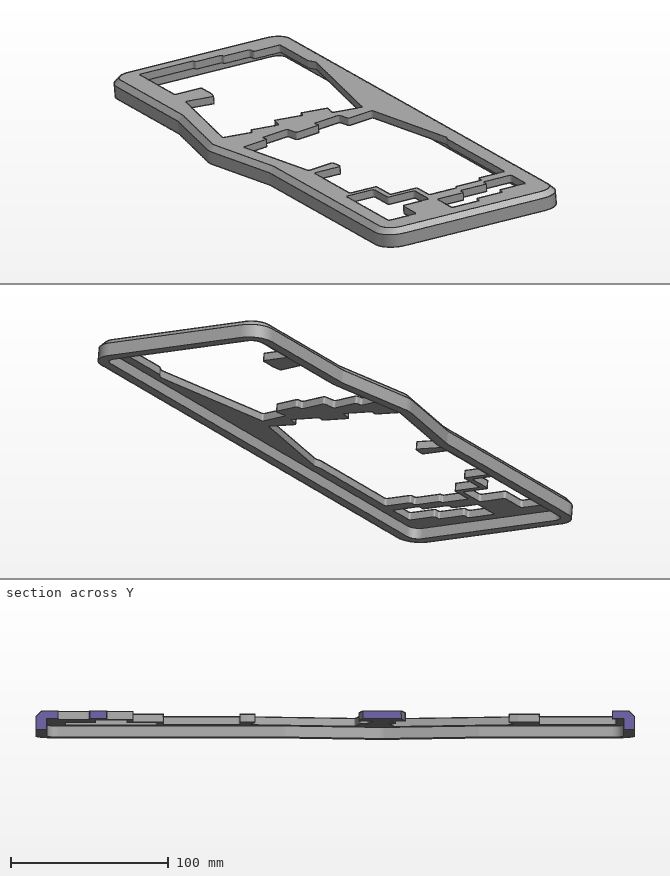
import cadquery as cq
import math

TILT = 5.0
WIDTH = 378.99
DEPTH = 138.73
HEIGHT = 12.0
CORNER_RADIUS = 14.0
CHAMFER = 3.5
WEB = 5.0
RIM = 7.0
SPLAY = 10.0
POINT_X = -29.75
POINT_RADIUS = 16.0
POINT_HALF_WIDTH = 62.2

PITCH = 19.05
CLEARANCE = 0.45
KEY_CORNER_RADIUS = 1.15
ARROW_CORNER_RADIUS = 1.5
GRID_X = -177.35
GRID_Y = 54.75
LEFT_HAND = (-30.45, 40.85)
RIGHT_HAND = (-19.5, 42.7)
LEFT_BLEND_X = (-130.0, -124.5)
RIGHT_BLEND_X = (55.5, 60.9)

BACK_ROW = 0
FRONT_ROW = 4
ROWS_END = 5
ARROW_ROW = 3.25

LEFT_ROW_STARTS = [0.5, 0.25, 0.125]
LEFT_STRAIGHT_END = 2.5
LEFT_SPLAYED_START = -3.5
LEFT_SPLAYED_ENDS = [0, -0.5, -0.25, 0.25, 0.5]
RIGHT_SPLAYED_STARTS = [0, -0.5, -0.25, -0.75, -0.5]
RIGHT_SPLAYED_END = 3
RIGHT_STRAIGHT_START = 12.5
RIGHT_ROW_ENDS = [16.5, 16.75, 16.875, 16, 15]
SIDE_STARTS = [17, 17.25, 17.5]
SIDE_ENDS = [18, 18.25, 18.5]
ARROW_STARTS = [16.25, 15.25]
ARROW_ENDS = [17.25, 18.25]


def straight(column, row):
    """Position of a key corner in the straight rows."""
    return (GRID_X + column * PITCH, GRID_Y - row * PITCH)


def splayed(origin, turn, column, row):
    """Position of a key corner in a cluster turned about its origin."""
    angle = math.radians(turn)
    along = column * PITCH
    across = -row * PITCH
    return (
        origin[0] + along * math.cos(angle) - across * math.sin(angle),
        origin[1] + along * math.sin(angle) + across * math.cos(angle),
    )


def left_hand(column, row):
    return splayed(LEFT_HAND, -SPLAY, column, row)


def right_hand(column, row):
    return splayed(RIGHT_HAND, SPLAY, column, row)


def row_line_at_x(hand, row, x):
    """Point at the given x on the back line of a splayed row."""
    x0, y0 = hand(0, row)
    x1, y1 = hand(1, row)
    return (x, y0 + (x - x0) * (y1 - y0) / (x1 - x0))


def row_line_at_y(hand, row, y):
    """Point at the given y on the back line of a splayed row."""
    x0, y0 = hand(0, row)
    x1, y1 = hand(1, row)
    return (x0 + (y - y0) * (x1 - x0) / (y1 - y0), y)


def staircase(corner, columns, first_row=BACK_ROW):
    """Corners of a stepped edge with one column per row, from back to front."""
    points = []
    for step, column in enumerate(columns):
        row = first_row + step
        points += [corner(column, row), corner(column, row + 1)]
    return points


def round_upright_edge(body, corner, radius):
    """Fillet the upright edge of the body at a plan corner."""
    middle = (corner[0], corner[1], -HEIGHT / 2)
    return body.edges(cq.selectors.NearestToPointSelector(middle)).fillet(radius)


def case_block():
    """Solid block: a rounded rectangle whose front edge runs out to a shallow point."""
    right = WIDTH / 2
    back = DEPTH / 2
    angle = math.radians(SPLAY)
    lost_to_rounding = POINT_RADIUS * (1 / math.cos(angle) - 1)
    point = (POINT_X, -DEPTH / 2 - lost_to_rounding)
    front = point[1] + POINT_HALF_WIDTH * math.tan(angle)
    outer_corners = [(right, front), (right, back), (-right, back), (-right, front)]
    slopes = [(POINT_X - POINT_HALF_WIDTH, front), point, (POINT_X + POINT_HALF_WIDTH, front)]
    block = cq.Workplane("XY").polyline(outer_corners + slopes).close().extrude(-HEIGHT)
    for corner in outer_corners:
        block = round_upright_edge(block, corner, CORNER_RADIUS)
    return round_upright_edge(block, point, POINT_RADIUS)


def case_shell():
    """Chamfered case, hollow from below."""
    block = case_block()
    cavity = (
        block.faces("<Z")
        .wires()
        .toPending()
        .workplane()
        .offset2D(-RIM)
        .extrude(WEB - HEIGHT, combine=False)
    )
    return block.faces(">Z").chamfer(CHAMFER).cut(cavity)


def key_cutter(key_corners, radius):
    """Cutter for a group of keys, with clearance and rounded corners."""
    return (
        cq.Workplane("XY")
        .polyline(key_corners)
        .close()
        .offset2D(CLEARANCE, "intersection")
        .extrude(-HEIGHT)
        .edges("|Z")
        .fillet(radius)
    )


def left_keys():
    front_row_y = straight(0, FRONT_ROW)[1]
    corners = staircase(straight, LEFT_ROW_STARTS)
    corners += [straight(0, len(LEFT_ROW_STARTS)), straight(0, ROWS_END)]
    corners += [straight(LEFT_STRAIGHT_END, ROWS_END), straight(LEFT_STRAIGHT_END, FRONT_ROW)]
    corners += [row_line_at_y(left_hand, FRONT_ROW, front_row_y)]
    corners += staircase(left_hand, [LEFT_SPLAYED_START], FRONT_ROW)
    corners += reversed(staircase(left_hand, LEFT_SPLAYED_ENDS))
    corners += [row_line_at_x(left_hand, BACK_ROW, LEFT_BLEND_X[1]), (LEFT_BLEND_X[0], GRID_Y)]
    return corners


def right_keys():
    front_row_y = straight(0, FRONT_ROW)[1]
    corners = staircase(right_hand, RIGHT_SPLAYED_STARTS)
    corners += reversed(staircase(right_hand, [RIGHT_SPLAYED_END], FRONT_ROW))
    corners += [row_line_at_y(right_hand, FRONT_ROW, front_row_y)]
    corners += staircase(straight, [RIGHT_STRAIGHT_START], FRONT_ROW)
    corners += reversed(staircase(straight, RIGHT_ROW_ENDS))
    corners += [(RIGHT_BLEND_X[1], GRID_Y), row_line_at_x(right_hand, BACK_ROW, RIGHT_BLEND_X[0])]
    return corners


def stepped_keys(starts, ends, first_row):
    """Corners of a straight group of keys with stepped sides."""
    left_side = staircase(straight, starts, first_row)
    right_side = staircase(straight, ends, first_row)
    return left_side + right_side[::-1]


plate = case_shell()
plate = plate.cut(key_cutter(left_keys(), KEY_CORNER_RADIUS))
plate = plate.cut(key_cutter(right_keys(), KEY_CORNER_RADIUS))
plate = plate.cut(key_cutter(stepped_keys(SIDE_STARTS, SIDE_ENDS, BACK_ROW), KEY_CORNER_RADIUS))
plate = plate.cut(key_cutter(stepped_keys(ARROW_STARTS, ARROW_ENDS, ARROW_ROW), ARROW_CORNER_RADIUS))

result = plate.rotate((0, 0, 0), (1, 0, 0), TILT)